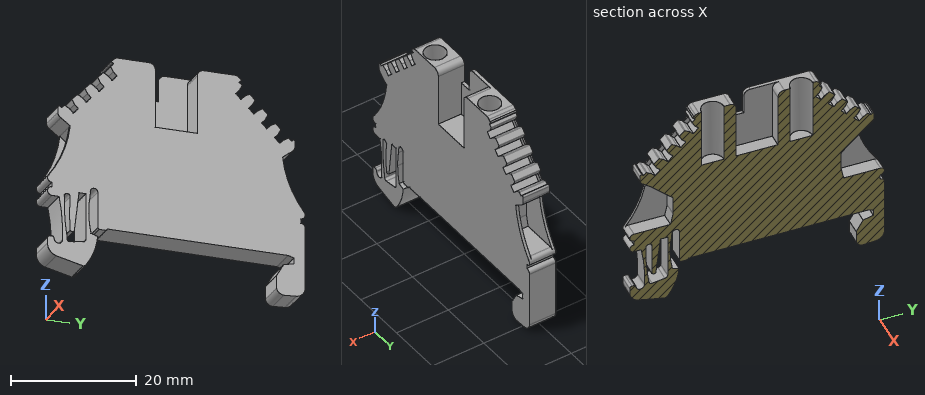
import cadquery as cq
import math

width = 5.1
length = 44.0
height = 36.7
half_length = length / 2

diagonal = math.sqrt(0.5)

rail_z = 6.95
leg_y = 13.4
window_top_z = 12.5
top_half = 10.08

tooth_count = 4
tooth_pitch = 2.2
tooth_land = 0.95
first_tooth = (12.5, 33.85)
top_crest = (11.25, 35.05)
gap_start = (0.5, -1.85)
gap_end = (1.3, -2.75)
crest_radius = 0.15
tooth_slot_depth = 0.9
tooth_slot_wall = 0.3

ear_y = 20.25
ear_top_z = 27.0
ear_bottom_z = 25.8
grip_top = (18.15, 23.75)
grip_bottom = (21.9, 14.7)
lip_radius = 0.75
lip_centre_y = half_length - lip_radius
lip_upper_z = 14.35
lip_lower_z = 12.1
lip_bottom_z = lip_lower_z - lip_radius
leg_top_z = lip_lower_z

recess_wall = 0.55
recess_floor_z = lip_upper_z + lip_radius
recess_back_y = 14.5
recess_back_foot_y = 14.95

pocket_wall = 0.65
pocket_half = 3.55
pocket_depth = 11.0
slot_y = -1.35
slot_depth = 4.55
mouth_radius = 1.1

hole_diameter = 3.85
hole_y = 7.65
hole_x = 0.35
hole_depth = pocket_depth


def plate(outline, x_start=-width / 2, x_end=width / 2):
    """Extrude a closed outline drawn in (Y, Z) between two X positions."""
    return outline.close().extrude(x_end - x_start).translate((x_start, 0, 0))


def sketch(y, z):
    return cq.Workplane("YZ").moveTo(y, z)


def both_ends(solid):
    return solid.union(solid.mirror("XZ"))


def half_body():
    """Body from the centre to the +Y end, with its teeth and finger grip."""
    outline = (
        sketch(0, rail_z)
        .lineTo(leg_y, rail_z)
        .lineTo(leg_y, leg_top_z)
        .lineTo(lip_centre_y, leg_top_z)
        .lineTo(lip_centre_y, recess_floor_z)
        .lineTo(*grip_bottom)
        .threePointArc((19.35, 19.0), grip_top)
        .lineTo(19.7, 24.95)
        .threePointArc((20.1, 25.35), (ear_y, ear_bottom_z))
        .lineTo(ear_y, 26.75)
        .threePointArc((20.15, 26.95), (19.98, ear_top_z))
        .lineTo(19.85, ear_top_z)
        .lineTo(19.62, 26.75)
    )

    crest_corners = [top_crest]
    for index in reversed(range(tooth_count)):
        crest_y = first_tooth[0] + index * tooth_pitch
        crest_z = first_tooth[1] - index * tooth_pitch
        if index < tooth_count - 1:
            outline = outline.lineTo(crest_y + tooth_land, crest_z - tooth_land)
            crest_corners.append((crest_y + tooth_land, crest_z - tooth_land))
        outline = outline.lineTo(crest_y, crest_z)
        crest_corners.append((crest_y, crest_z))
        above_y = crest_y - tooth_pitch
        above_z = crest_z + tooth_pitch
        outline = outline.lineTo(above_y + gap_end[0], above_z + gap_end[1])
        outline = outline.lineTo(above_y + gap_start[0], above_z + gap_start[1])
    outline = (
        outline.lineTo(*top_crest)
        .lineTo(10.75, 35.6)
        .lineTo(10.95, 35.75)
        .threePointArc((11.1, 35.95), (10.9, 36.15))
        .lineTo(10.65, 36.45)
        .threePointArc((10.4, 36.6), (top_half, height))
        .lineTo(0, height)
    )
    body = plate(outline)
    for corner in crest_corners:
        nearest = cq.selectors.NearestToPointSelector((0, *corner))
        body = body.edges("|X").edges(nearest).fillet(crest_radius)
    return body


def half_round_lip(centre_z):
    """Rounded rib across the +Y end."""
    return (
        cq.Workplane("YZ", origin=(-width / 2, lip_centre_y, centre_z))
        .circle(lip_radius)
        .extrude(width)
    )


def tooth_slots():
    """Square slots that deepen the gaps between the +Y teeth, short of the -X face."""
    slots = cq.Workplane("YZ")
    inward = tooth_slot_depth * diagonal
    for step in range(-1, tooth_count - 1):
        crest_y = first_tooth[0] + step * tooth_pitch
        crest_z = first_tooth[1] - step * tooth_pitch
        start_y = crest_y + gap_start[0]
        start_z = crest_z + gap_start[1]
        end_y = crest_y + gap_end[0]
        end_z = crest_z + gap_end[1]
        slot = (
            sketch(start_y, start_z)
            .lineTo(start_y - inward, start_z - inward)
            .lineTo(end_y - inward, end_z - inward)
            .lineTo(end_y, end_z)
        )
        slots = slots.add(plate(slot, -width / 2 + tooth_slot_wall))
    return slots.combine()


def hook_leg():
    """Rigid hooked leg at the +Y end."""
    return plate(
        sketch(half_length, leg_top_z)
        .lineTo(half_length, 1.65)
        .threePointArc((21.5, 0.6), (20.4, 0.15))
        .lineTo(18.3, 0)
        .threePointArc((17.5, 0.3), (17.05, 1.0))
        .lineTo(17.05, 3.2)
        .lineTo(18.25, 5.25)
        .lineTo(20.0, 5.68)
        .lineTo(20.0, 6.65)
        .lineTo(19.05, rail_z)
        .lineTo(leg_y, rail_z)
        .lineTo(leg_y, leg_top_z)
    )


def spring_leg():
    """Flexible foot at the -Y end, solid between its arms."""
    return plate(
        sketch(-leg_y, leg_top_z)
        .lineTo(-14.75, leg_top_z)
        .threePointArc((-14.95, 9.25), (-14.55, 5.8))
        .lineTo(-leg_y, 5.4)
        .threePointArc((-14.05, 2.7), (-15.25, 0.45))
        .threePointArc((-15.55, 0.15), (-15.95, 0))
        .lineTo(-20.5, 1.05)
        .threePointArc((-21.55, 1.75), (-half_length, 3.05))
        .lineTo(-half_length, 4.0)
        .threePointArc((-21.85, 4.25), (-21.6, 4.4))
        .lineTo(-21.25, 4.4)
        .threePointArc((-21.0, 4.25), (-20.85, 4.0))
        .threePointArc((-20.15, 3.3), (-19.45, 4.0))
        .threePointArc((-19.55, 7.9), (-20.0, lip_bottom_z))
        .lineTo(-lip_centre_y, lip_bottom_z)
        .lineTo(-lip_centre_y, leg_top_z)
    )


def heel():
    """Small pad under the body beside the spring leg."""
    return plate(
        sketch(-11.75, rail_z)
        .lineTo(-12.0, 6.7)
        .lineTo(-13.2, 6.7)
        .lineTo(-leg_y, rail_z)
    )


def spring_slot():
    """Round-ended slot that separates the spring leg from the body."""
    return plate(
        sketch(-leg_y, rail_z)
        .lineTo(-leg_y, 13.05)
        .threePointArc((-14.05, 13.65), (-14.65, 13.05))
        .lineTo(-14.75, leg_top_z)
        .threePointArc((-14.95, 9.25), (-14.75, rail_z))
    )


def spring_window():
    """Opening through the spring leg, around a tapered finger that hangs from its top."""
    return plate(
        sketch(-15.45, window_top_z)
        .lineTo(-16.65, window_top_z)
        .lineTo(-17.42, 5.8)
        .threePointArc((-17.78, 5.65), (-18.15, 5.8))
        .threePointArc((-18.2, 9.25), (-18.15, 11.55))
        .threePointArc((-18.65, 12.05), (-19.15, 11.55))
        .threePointArc((-19.05, 7.9), (-18.6, 4.22))
        .threePointArc((-18.45, 3.9), (-18.15, 3.85))
        .lineTo(-15.95, 4.2)
        .threePointArc((-15.58, 4.35), (-15.45, 4.65))
    )


def grip_recess():
    """Pocket in the +Y finger grip, between two side walls."""
    shoulder = lip_radius * diagonal
    lip_shoulder = (lip_centre_y + shoulder, lip_upper_z + shoulder)
    outline = (
        sketch(lip_centre_y, recess_floor_z)
        .lineTo(recess_back_foot_y, recess_floor_z)
        .lineTo(recess_back_y, 17.15)
        .lineTo(recess_back_y, 20.4)
        .lineTo(*grip_top)
        .lineTo(half_length, grip_top[1])
        .lineTo(half_length, lip_upper_z)
        .threePointArc(lip_shoulder, (lip_centre_y, recess_floor_z))
    )
    return plate(outline, -width / 2 + recess_wall, width / 2 - recess_wall)


def top_cut(y_start, y_end, depth, x_start):
    """Straight-sided cut from the top, with a rounded mouth at both ends."""
    corner = mouth_radius * (1 - diagonal)
    mouth_z = height - mouth_radius
    outline = (
        sketch(y_start, height - depth)
        .lineTo(y_start, mouth_z)
        .threePointArc((y_start - corner, height - corner), (y_start - mouth_radius, height))
        .lineTo(y_end + mouth_radius, height)
        .threePointArc((y_end + corner, height - corner), (y_end, mouth_z))
        .lineTo(y_end, height - depth)
    )
    return plate(outline, x_start)


def screw_holes():
    return (
        cq.Workplane("XY", origin=(0, 0, height))
        .pushPoints([(hole_x, hole_y), (hole_x, -hole_y)])
        .circle(hole_diameter / 2)
        .extrude(-hole_depth)
    )


result = (
    both_ends(half_body())
    .union(both_ends(half_round_lip(lip_upper_z)))
    .union(both_ends(half_round_lip(lip_lower_z)))
    .union(hook_leg())
    .union(spring_leg())
    .union(heel())
    .cut(spring_slot())
    .cut(spring_window())
    .cut(both_ends(grip_recess()))
    .cut(both_ends(tooth_slots()))
    .cut(top_cut(-pocket_half, pocket_half, pocket_depth, -width / 2 + pocket_wall))
    .cut(top_cut(-pocket_half, slot_y, slot_depth, -width / 2))
    .cut(screw_holes())
)